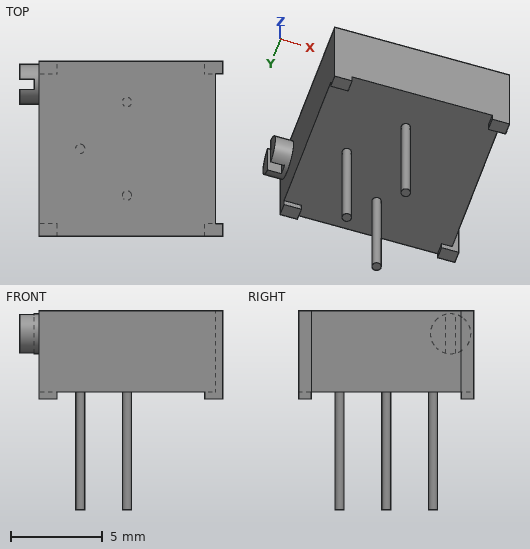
import cadquery as cq

housing_length = 10.02
housing_width = 9.53
housing_height = 4.82

foot_length = 1.0
foot_width = 0.7
foot_height = 0.39
end_recess_depth = 0.39

overall_length = 11.06
screw_diameter = 2.19
screw_inset = 1.26
screw_length = overall_length - housing_length
slot_width = 0.55
slot_depth = 0.79

overall_height = 10.85
pin_diameter = 0.51
pin_pitch = 2.54
middle_pin_x = 2.26
outer_pin_x = middle_pin_x + pin_pitch
pin_tip_z = housing_height - overall_height


def box(length, width, height, x, y, z):
    """Box with its minimum corner at (x, y, z)."""
    return cq.Workplane("XY").box(length, width, height, centered=False).translate((x, y, z))


def make_housing():
    inner_width = housing_width - 2 * foot_width
    inner_length = housing_length - 2 * foot_length
    housing = box(housing_length, housing_width, housing_height, 0, 0, 0)
    housing = housing.cut(box(inner_length, housing_width, foot_height, foot_length, 0, 0))
    housing = housing.cut(box(housing_length, inner_width, foot_height, 0, foot_width, 0))
    recess_x = housing_length - end_recess_depth
    return housing.cut(box(end_recess_depth, inner_width, housing_height, recess_x, foot_width, 0))


def make_screw():
    screw_y = housing_width - screw_inset
    screw_z = housing_height - screw_inset
    screw = (
        cq.Workplane("YZ")
        .center(screw_y, screw_z)
        .circle(screw_diameter / 2)
        .extrude(-screw_length)
    )
    slot = box(
        slot_depth, slot_width, screw_diameter,
        -screw_length, screw_y - slot_width / 2, screw_z - screw_diameter / 2,
    )
    return screw.cut(slot)


def make_pins():
    middle_y = housing_width / 2
    positions = [
        (outer_pin_x, middle_y - pin_pitch),
        (middle_pin_x, middle_y),
        (outer_pin_x, middle_y + pin_pitch),
    ]
    return (
        cq.Workplane("XY")
        .workplane(offset=pin_tip_z)
        .pushPoints(positions)
        .circle(pin_diameter / 2)
        .extrude(foot_height - pin_tip_z)
    )


result = make_housing().union(make_screw()).union(make_pins())